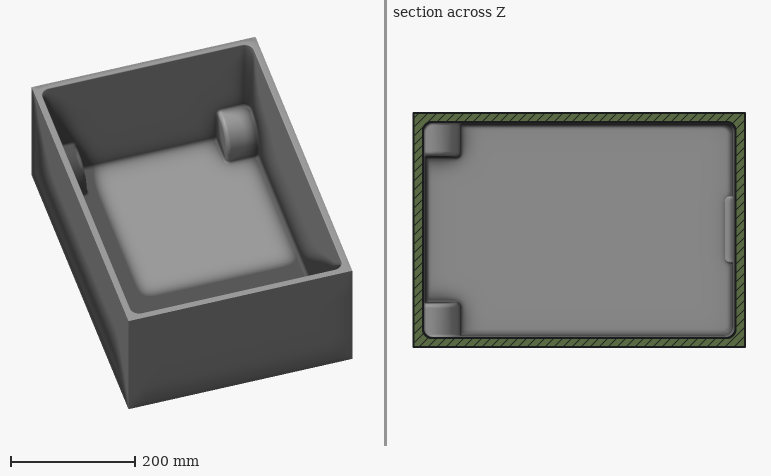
import cadquery as cq
import math

length = 533.4
width = 376.24
height = 209.55

rim_wall = 11.1
floor_wall_x = 19.8
floor_wall_y = 18.0
floor_thickness = 9.525
basin_corner_radius = 15.0
floor_fillet = 6.35
rim_fillet = 1.5875

boss_reach = 75.8
boss_depth = 71.5
boss_height = 63.5
boss_round = 45.0
boss_draft = 2.0
boss_end_fillet = 7.0
boss_wall_fillet = 4.0

ledge_length = 108.0
ledge_reach = 33.3
ledge_toe_height = 1.6
ledge_slope_run = 13.0
ledge_slope_angle = 42.0
ledge_corner_radius = 9.525
ledge_top_fillet = 3.8


def drafted_prism(plane, rim_size, floor_size, depth):
    """Symmetric trapezoid, wider at the rim, extruded both ways by half the depth."""
    return (
        cq.Workplane(plane)
        .polyline([
            (-floor_size / 2, floor_thickness),
            (floor_size / 2, floor_thickness),
            (rim_size / 2, height),
            (-rim_size / 2, height),
        ])
        .close()
        .extrude(depth / 2, both=True)
    )


def basin_cavity():
    """Cavity drafted differently along X and Y, with rounded corners and floor edge."""
    across_x = drafted_prism("XZ", length - 2 * rim_wall, length - 2 * floor_wall_x, width)
    across_y = drafted_prism("YZ", width - 2 * rim_wall, width - 2 * floor_wall_y, length)
    cavity = across_x.intersect(across_y)
    cavity = cavity.edges("not #Z").fillet(basin_corner_radius)
    return cavity.faces("<Z").edges().fillet(floor_fillet)


def corner_boss():
    """Drafted block centred on the outer -X, +Y corner; its top rolls over into the nose."""
    boss = (
        cq.Workplane("XY", origin=(-length / 2, width / 2, floor_thickness))
        .rect(2 * boss_reach, 2 * boss_depth)
        .extrude(boss_height, taper=boss_draft)
    )
    boss = boss.faces(">Z").edges(">X").fillet(boss_round)
    free_end_edges = boss.faces("<Y").edges("not(<X or <Z)")
    return free_end_edges.fillet(boss_end_fillet)


def wall_ledge():
    """Low wedge against the +X wall with a short toe, rounded corners and a rounded top edge."""
    toe_x = length / 2 - ledge_reach
    toe_z = floor_thickness + ledge_toe_height
    crest_x = toe_x + ledge_slope_run
    crest_z = toe_z + ledge_slope_run * math.tan(math.radians(ledge_slope_angle))
    wedge = (
        cq.Workplane("XZ", origin=(0, ledge_length / 2, 0))
        .polyline([
            (toe_x, 0),
            (toe_x, toe_z),
            (crest_x, crest_z),
            (length / 2, crest_z),
            (length / 2, 0),
        ])
        .close()
        .extrude(ledge_length)
    )
    wedge = wedge.edges("|Z and <X").fillet(ledge_corner_radius)
    slope = wedge.faces("not(|X or |Y or |Z)").faces(">Z")
    return slope.edges("not >X").fillet(ledge_top_fillet)


def blend_boss_top(cavity, side):
    """Round the seam between the top of one boss and the basin walls around it."""
    seam_point = (-length / 2, side * (width - boss_depth) / 2, floor_thickness + boss_height)
    seam = cavity.edges(cq.selectors.NearestToPointSelector(seam_point))
    return seam.fillet(boss_wall_fillet)


cavity = basin_cavity()
back_boss = corner_boss()
cavity = cavity.cut(back_boss).cut(back_boss.mirror("XZ"))
for side in (-1, 1):
    cavity = blend_boss_top(cavity, side)
cavity = cavity.cut(wall_ledge())

block = cq.Workplane("XY").box(length, width, height, centered=(True, True, False))
basin = block.cut(cavity)
rim_edges = basin.faces(">Z").edges("not(<X or >X or <Y or >Y)")
result = rim_edges.fillet(rim_fillet)